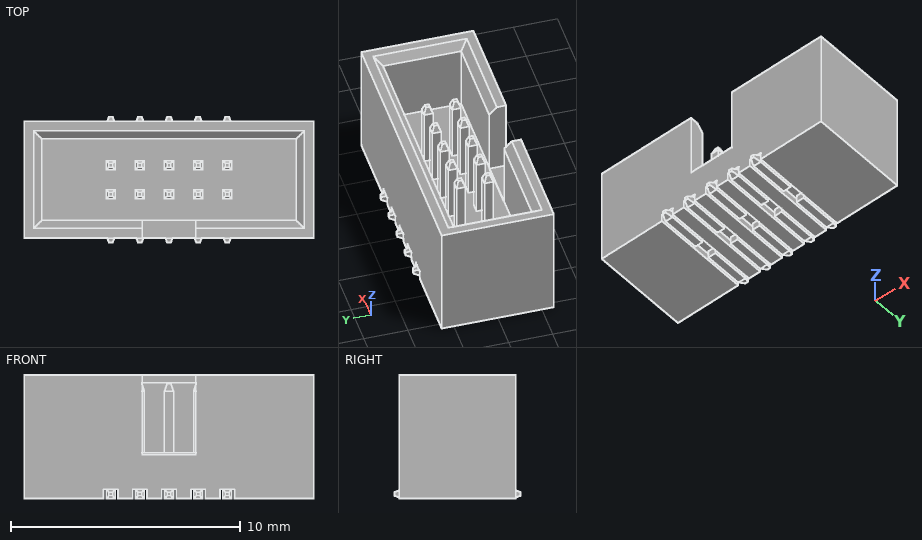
import cadquery as cq

body_length = 12.65
body_width = 5.1
body_height = 5.4
wall = 0.775
rim_chamfer = 0.35
floor_height = 2.0

key_width = 2.34
key_bottom = 1.92

columns = 5
pitch = 1.27
pin_size = 0.4
pin_top = 5.0
lead_reach = 2.75
tip_length = 0.32
tip_size = 0.17

channel_width = 0.62
channel_height = pin_size

column_positions = [(i - (columns - 1) / 2) * pitch for i in range(columns)]


def make_housing():
    cavity_length = body_length - 2 * wall
    cavity_width = body_width - 2 * wall
    box = cq.Workplane("XY").box(body_length, body_width, body_height, centered=(True, True, False))
    cavity = (
        cq.Workplane("XY", origin=(0, 0, floor_height))
        .rect(cavity_length, cavity_width)
        .extrude(body_height - floor_height)
    )
    rim_bevel = (
        cq.Workplane("XY", origin=(0, 0, body_height - rim_chamfer))
        .rect(cavity_length, cavity_width)
        .workplane(offset=rim_chamfer)
        .rect(cavity_length + 2 * rim_chamfer, cavity_width + 2 * rim_chamfer)
        .loft(ruled=True)
    )
    return box.cut(cavity).cut(rim_bevel)


def make_key_slot():
    return (
        cq.Workplane("XY", origin=(0, (wall - body_width) / 2, key_bottom))
        .box(key_width, wall, body_height - key_bottom, centered=(True, True, False))
    )


def make_channel(x):
    return (
        cq.Workplane("XY", origin=(x, 0, 0))
        .box(channel_width, body_width, channel_height, centered=(True, True, False))
    )


def make_tapered_bar(length):
    """Square bar along +Z from the origin, ending in a blunt pyramid tip."""
    shank_length = length - tip_length
    shank = cq.Workplane("XY").rect(pin_size, pin_size).extrude(shank_length)
    tip = (
        cq.Workplane("XY", origin=(0, 0, shank_length))
        .rect(pin_size, pin_size)
        .workplane(offset=tip_length)
        .rect(tip_size, tip_size)
        .loft(ruled=True)
    )
    return shank.union(tip)


def make_contact(x):
    """L-shaped contact of the back row: a post, and a lead running out to +Y."""
    row_y = pitch / 2
    lead_start = row_y - pin_size / 2
    post = make_tapered_bar(pin_top).translate((x, row_y, 0))
    lead = (
        make_tapered_bar(lead_reach - lead_start)
        .rotate((0, 0, 0), (1, 0, 0), -90)
        .translate((x, lead_start, pin_size / 2))
    )
    return post.union(lead)


result = make_housing().cut(make_key_slot())
for x in column_positions:
    back_contact = make_contact(x)
    front_contact = back_contact.mirror("XZ")
    result = result.cut(make_channel(x)).union(back_contact).union(front_contact)